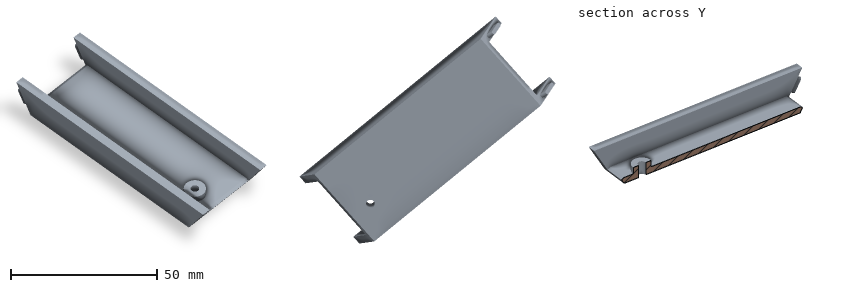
import cadquery as cq
import math

total_length = 88.5
width = 31.5
height = 11.7

wall_thickness = 3.2
floor_thickness = 2.6
end_lean = 30.0

tab_length = 6.2
tab_width = 1.5
tab_projection = 2.7
tab_distance_from_top = 7.0
tab_inset = 1.7

boss_diameter = 7.6
boss_top = 5.1
hole_diameter = 2.9
boss_from_right_end = 14.4
boss_y = -4.7

lean_sin = math.sin(math.radians(end_lean))
lean_cos = math.cos(math.radians(end_lean))
lean_tan = math.tan(math.radians(end_lean))

tab_top_distance = tab_distance_from_top - tab_length / 2
tab_overhang = tab_projection * lean_cos - tab_top_distance * lean_sin
left_x = -total_length / 2 + tab_overhang
right_x = total_length / 2
end_run = height * lean_tan
floor_left_x = left_x + end_run
floor_right_x = right_x - end_run


def extrude_along_y(points, y_start, depth):
    """Extrude an XZ outline toward +Y, starting at y_start."""
    plane = cq.Plane(origin=(0, y_start, 0), xDir=(1, 0, 0), normal=(0, -1, 0))
    return cq.Workplane(plane).polyline(points).close().extrude(-depth)


def make_floor():
    """Floor whose upper end edges are cut square to the leaning end faces."""
    lip_height = floor_thickness * lean_cos**2
    lip_reach = lip_height * lean_tan
    outline = [
        (floor_left_x, 0),
        (floor_right_x, 0),
        (floor_right_x + lip_reach, lip_height),
        (floor_right_x, floor_thickness),
        (floor_left_x, floor_thickness),
        (floor_left_x - lip_reach, lip_height),
    ]
    return extrude_along_y(outline, -width / 2, width)


def make_wall(y_start):
    outline = [
        (floor_left_x, 0),
        (floor_right_x, 0),
        (right_x, height),
        (left_x, height),
    ]
    return extrude_along_y(outline, y_start, wall_thickness)


def make_tab(y_center):
    """Round-ended tab standing square to the leaning left end."""
    center = (
        left_x + tab_distance_from_top * lean_sin,
        y_center,
        height - tab_distance_from_top * lean_cos,
    )
    end_plane = cq.Plane(
        origin=center,
        xDir=(-lean_sin, 0, lean_cos),
        normal=(-lean_cos, 0, -lean_sin),
    )
    return cq.Workplane(end_plane).slot2D(tab_length, tab_width).extrude(tab_projection)


body = make_floor()
for wall_y in (-width / 2, width / 2 - wall_thickness):
    body = body.union(make_wall(wall_y))

for side in (-1, 1):
    body = body.union(make_tab(side * (width / 2 - tab_inset)))

boss_base = cq.Workplane("XY").center(right_x - boss_from_right_end, boss_y)
boss = boss_base.circle(boss_diameter / 2).extrude(boss_top)
hole = boss_base.circle(hole_diameter / 2).extrude(boss_top)

result = body.union(boss).cut(hole)